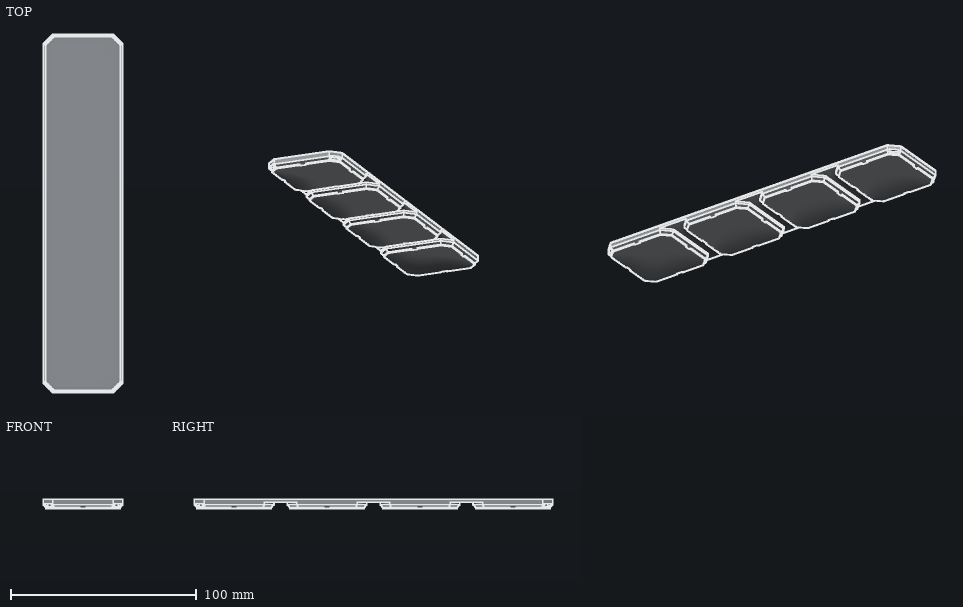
import cadquery as cq
import math

foot_size = 43.0
foot_pitch = 50.0
foot_count = 4
corner_chamfer = 5.3
total_height = 5.1

lip_height = 0.65
slope_inset = 1.5
plate_bottom = 3.4

rim_width = 0.5
recess_depth = 0.9

nick_width = 3.5

notch_width = 5.0
notch_depth = 2.5
notch_bottom = 0.9
notch_top = 2.7
notch_bevel = 0.7

slope_top = lip_height + slope_inset
tray_length = foot_size + (foot_count - 1) * foot_pitch
corner_cut_ratio = 2 - math.sqrt(2)


def octagon(length, inset, z):
    """Outline of the part's width with cut corners, offset inwards on all eight sides."""
    half_x = foot_size / 2 - inset
    half_y = length / 2 - inset
    cut = corner_chamfer - inset * corner_cut_ratio
    points = [
        (half_x, half_y - cut),
        (half_x - cut, half_y),
        (cut - half_x, half_y),
        (-half_x, half_y - cut),
        (-half_x, cut - half_y),
        (cut - half_x, -half_y),
        (half_x - cut, -half_y),
        (half_x, cut - half_y),
    ]
    return cq.Workplane("XY").workplane(offset=z).polyline(points).close()


def tapered_block(length, bottom_z, bottom_inset, top_z, top_inset):
    """Octagonal block with flat sloping sides between two heights."""
    bottom = octagon(length, bottom_inset, bottom_z).wires().val()
    top = octagon(length, top_inset, top_z).wires().val()
    return cq.Workplane(cq.Solid.makeLoft([bottom, top], True))


def lip_nick():
    """Wedge on the +X side of a foot that continues the slope down through the lip."""
    lip_face = foot_size / 2 - slope_inset
    return (
        cq.Workplane("XZ")
        .polyline([(lip_face, lip_height), (lip_face - lip_height, 0), (lip_face, 0)])
        .close()
        .extrude(nick_width / 2, both=True)
    )


def foot():
    """One square foot, from the underside up to the tray plate."""
    lip = octagon(foot_size, slope_inset, 0).extrude(lip_height)
    for turn in (0, 90, 180, 270):
        lip = lip.cut(lip_nick().rotate((0, 0, 0), (0, 0, 1), turn))
    slope = tapered_block(foot_size, lip_height, slope_inset, slope_top, 0)
    wall = octagon(foot_size, 0, slope_top).extrude(plate_bottom - slope_top)
    return lip.union(slope).union(wall)


def tray():
    """Long plate with a shallow recess in its top face."""
    plate = octagon(tray_length, 0, plate_bottom).extrude(total_height - plate_bottom)
    floor_z = total_height - recess_depth
    floor_inset = rim_width + recess_depth
    return plate.cut(tapered_block(tray_length, floor_z, floor_inset, total_height, rim_width))


def corner_notch(side_x, side_y):
    """Diagonal pocket reaching inwards from one cut corner."""
    centre_x = side_x * (foot_size - corner_chamfer) / 2
    centre_y = side_y * (tray_length - corner_chamfer) / 2
    half_width = notch_width / 2
    section = [
        (-half_width, notch_top),
        (-half_width, notch_bottom + notch_bevel),
        (notch_bevel - half_width, notch_bottom),
        (half_width - notch_bevel, notch_bottom),
        (half_width, notch_bottom + notch_bevel),
        (half_width, notch_top),
    ]
    return (
        cq.Workplane("XZ")
        .polyline(section)
        .close()
        .extrude(notch_depth, both=True)
        .rotate((0, 0, 0), (0, 0, 1), -45 * side_x * side_y)
        .translate((centre_x, centre_y, 0))
    )


result = tray()

for index in range(foot_count):
    foot_y = (index - (foot_count - 1) / 2) * foot_pitch
    result = result.union(foot().translate((0, foot_y, 0)))

for side_x in (-1, 1):
    for side_y in (-1, 1):
        result = result.cut(corner_notch(side_x, side_y))